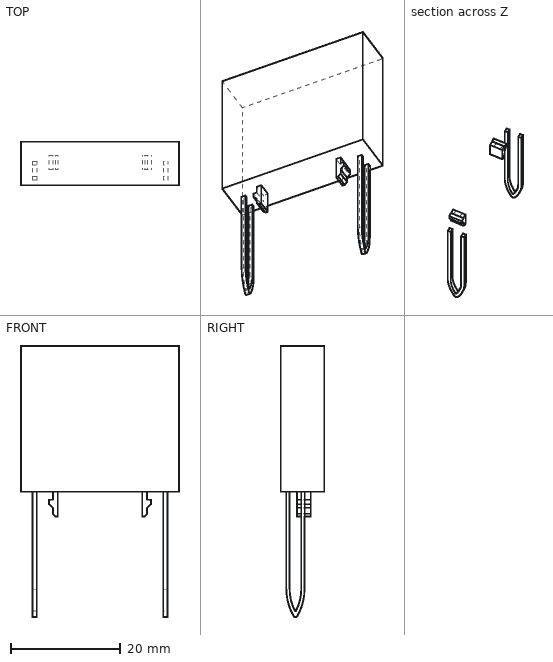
import cadquery as cq
import math

body_length = 29.05
body_width = 8.0
overall_height = 49.75
leg_length = 23.0
body_height = overall_height - leg_length

leg_spacing = 24.0
leg_center_y = -1.3
leg_thickness = 0.8
loop_half_width = 1.7
wire_width = 0.65
straight_length = 17.8
tip_radius = 0.4
slot_depth = 21.85
slot_tip_radius = 0.1

clip_outer_x = 8.65
clip_thickness = 0.95
clip_y_min = -1.05
clip_width = 2.6
clip_length = 4.55
clip_tip_chamfer = 0.5
barb_reach = 0.7
barb_top_depth = 1.45
barb_face_height = 0.8


def make_body():
    """Plain rectangular housing."""
    return cq.Workplane("XY").box(
        body_length, body_width, body_height, centered=(True, True, False)
    )


def make_pointed_prism(center_x, half_width, depth, end_radius):
    """Prism with straight sides from Z = 0, closed below by two large arcs and a small rounded tip.

    The large arcs are tangent to both the straight sides and the tip circle.
    """
    bend_height = depth - straight_length
    tip_rise = bend_height - end_radius
    side_radius = (half_width**2 + bend_height**2 - 2 * bend_height * end_radius) / (
        2 * (half_width - end_radius)
    )
    arc_center_y = half_width - side_radius
    end_angle = math.atan2(tip_rise, -arc_center_y)

    def side_arc_point(angle):
        return (
            arc_center_y + side_radius * math.cos(angle),
            -straight_length - side_radius * math.sin(angle),
        )

    mid_y, mid_z = side_arc_point(end_angle / 2)
    tangent_y, tangent_z = side_arc_point(end_angle)
    return (
        cq.Workplane("YZ", origin=(center_x - leg_thickness / 2, leg_center_y, 0))
        .moveTo(-half_width, 0)
        .lineTo(-half_width, -straight_length)
        .threePointArc((-mid_y, mid_z), (-tangent_y, tangent_z))
        .threePointArc((0, -depth), (tangent_y, tangent_z))
        .threePointArc((mid_y, mid_z), (half_width, -straight_length))
        .lineTo(half_width, 0)
        .close()
        .extrude(leg_thickness)
    )


def make_leg(center_x):
    """Hairpin leg hanging from the underside of the body."""
    outside = make_pointed_prism(center_x, loop_half_width, leg_length, tip_radius)
    slot = make_pointed_prism(center_x, loop_half_width - wire_width, slot_depth, slot_tip_radius)
    return outside.cut(slot)


def make_clip(side):
    """Snap clip; side is +1 or -1 along X."""
    inner_x = clip_outer_x - clip_thickness
    barb_x = clip_outer_x + barb_reach
    barb_face_end = barb_top_depth + barb_face_height
    barb_end = barb_face_end + barb_reach
    outline = [
        (inner_x, 0),
        (clip_outer_x, 0),
        (clip_outer_x, -barb_top_depth),
        (barb_x, -barb_top_depth),
        (barb_x, -barb_face_end),
        (clip_outer_x, -barb_end),
        (clip_outer_x, -clip_length + clip_tip_chamfer),
        (clip_outer_x - clip_tip_chamfer, -clip_length),
        (inner_x, -clip_length),
    ]
    return (
        cq.Workplane("XZ", origin=(0, clip_y_min, 0))
        .polyline([(side * x, z) for x, z in outline])
        .close()
        .extrude(-clip_width)
    )


result = make_body()
for side in (-1, 1):
    result = result.union(make_leg(side * leg_spacing / 2))
    result = result.union(make_clip(side))